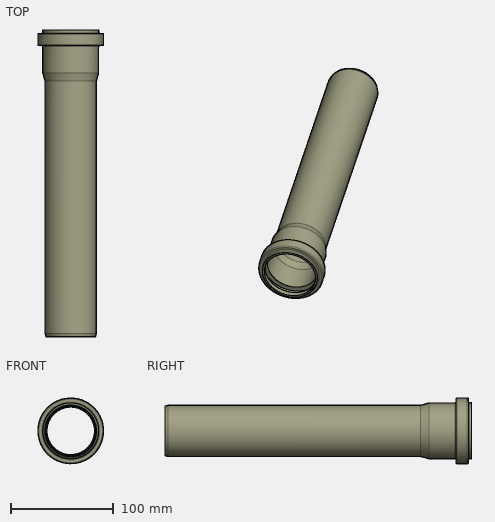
import cadquery as cq

total_length = 299.0
pipe_outer_dia = 50.2
pipe_bore_dia = 46.2

socket_wall = 1.9
socket_outer_dia = 54.6
lip_outer_dia = 54.9
bead_outer_dia = 64.1
lip_length = 3.3
bead_length = 12.1
bead_edge_radius = 1.1
bead_root_radius = 0.95
taper_start_depth = 41.8
taper_end_depth = 50.0

chamfer_length = 3.3
chamfer_depth = 1.0

socket_end = total_length
pipe_radius = pipe_outer_dia / 2
bore_radius = pipe_bore_dia / 2
socket_radius = socket_outer_dia / 2
lip_radius = lip_outer_dia / 2
bead_radius = bead_outer_dia / 2
bead_top = socket_end - lip_length
bead_bottom = bead_top - bead_length
taper_top = socket_end - taper_start_depth
taper_bottom = socket_end - taper_end_depth


def revolve_about_y(profile):
    """Turn a closed profile (radius, y) into a solid of revolution about Y."""
    return profile.close().revolve(360, (0, 0, 0), (0, 1, 0))


def outer_body():
    """Outside shape: chamfered pipe, taper, socket, rounded bead and lip."""
    edge = bead_edge_radius
    root = bead_root_radius
    return revolve_about_y(
        cq.Workplane("XY")
        .moveTo(0, 0)
        .lineTo(pipe_radius - chamfer_depth, 0)
        .lineTo(pipe_radius, chamfer_length)
        .lineTo(pipe_radius, taper_bottom)
        .lineTo(socket_radius, taper_top)
        .lineTo(socket_radius, bead_bottom - root)
        .tangentArcPoint((socket_radius + root, bead_bottom), relative=False)
        .lineTo(bead_radius - edge, bead_bottom)
        .tangentArcPoint((bead_radius, bead_bottom + edge), relative=False)
        .lineTo(bead_radius, bead_top - edge)
        .tangentArcPoint((bead_radius - edge, bead_top), relative=False)
        .lineTo(lip_radius + root, bead_top)
        .tangentArcPoint((lip_radius, bead_top + root), relative=False)
        .lineTo(lip_radius, socket_end)
        .lineTo(0, socket_end)
    )


def inner_cavity():
    """Bore, socket and seal groove, one wall thickness inside the socket."""
    return revolve_about_y(
        cq.Workplane("XY")
        .moveTo(0, 0)
        .lineTo(bore_radius, 0)
        .lineTo(bore_radius, taper_bottom)
        .lineTo(socket_radius - socket_wall, taper_top)
        .lineTo(socket_radius - socket_wall, bead_bottom + socket_wall)
        .lineTo(bead_radius - socket_wall, bead_bottom + socket_wall)
        .lineTo(bead_radius - socket_wall, bead_top - socket_wall)
        .lineTo(lip_radius - socket_wall, bead_top - socket_wall)
        .lineTo(lip_radius - socket_wall, socket_end)
        .lineTo(0, socket_end)
    )


result = outer_body().cut(inner_cavity())